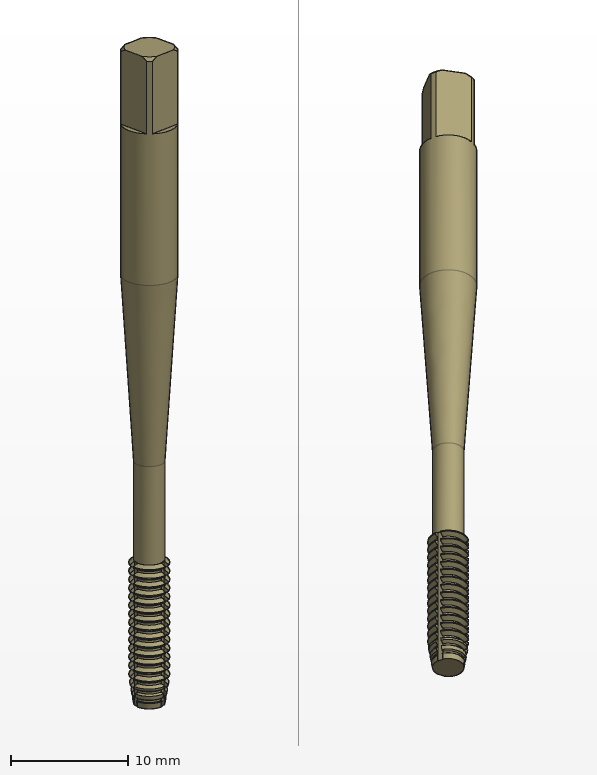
import cadquery as cq
import math

total_length = 60.6
thread_length = 13.3
neck_length = 9.1
taper_length = 17.2
square_length = 7.0

shank_diameter = 4.9
neck_diameter = 2.7
square_width = 3.8
square_end_chamfer = 0.3

thread_diameter = 3.505
thread_pitch = 25.4 / 32
crest_width = thread_pitch / 8
root_width = thread_pitch / 4
root_diameter = 2.7
lead_length = 3 * thread_pitch
tip_diameter = 2.7

groove_count = 3
groove_width = 0.5
groove_floor_radius = 1.3
first_groove_angle = 15

taper_start = thread_length + neck_length
taper_end = taper_start + taper_length
square_start = total_length - square_length


def make_shank():
    """Neck, taper, round shank and driving square."""
    neck_radius = neck_diameter / 2
    shank_radius = shank_diameter / 2
    outline = (
        cq.Workplane("XZ")
        .moveTo(0, thread_length)
        .lineTo(neck_radius, thread_length)
        .lineTo(neck_radius, taper_start)
        .lineTo(shank_radius, taper_end)
        .lineTo(shank_radius, total_length - square_end_chamfer)
        .lineTo(shank_radius - square_end_chamfer, total_length)
        .lineTo(0, total_length)
        .close()
    )
    body = outline.revolve(360, (0, 0, 0), (0, 1, 0))
    square = (
        cq.Workplane("XY", origin=(0, 0, square_start))
        .rect(square_width, square_width)
        .extrude(square_length)
    )
    around_square = (
        cq.Workplane("XY", origin=(0, 0, square_start))
        .circle(shank_diameter)
        .extrude(square_length)
        .cut(square)
    )
    return body.cut(around_square)


def thread_blank():
    """Plain cylinder with the lead-in cone at the tip."""
    outer_radius = thread_diameter / 2
    return (
        cq.Workplane("XZ")
        .lineTo(tip_diameter / 2, 0)
        .lineTo(outer_radius, lead_length)
        .lineTo(outer_radius, thread_length)
        .lineTo(0, thread_length)
        .close()
        .revolve(360, (0, 0, 0), (0, 1, 0))
    )


def thread_valley(height):
    """Ring with a trapezoidal section that leaves one valley centred on the given height."""
    outer_radius = thread_diameter / 2
    clear_radius = outer_radius + crest_width
    half_root = root_width / 2
    half_mouth = (thread_pitch - crest_width) / 2
    return (
        cq.Workplane("XZ")
        .moveTo(root_diameter / 2, height - half_root)
        .lineTo(outer_radius, height - half_mouth)
        .lineTo(clear_radius, height - half_mouth)
        .lineTo(clear_radius, height + half_mouth)
        .lineTo(outer_radius, height + half_mouth)
        .lineTo(root_diameter / 2, height + half_root)
        .close()
        .revolve(360, (0, 0, 0), (0, 1, 0))
    )


def lubrication_groove(angle):
    """Straight flat-bottomed groove along the whole thread."""
    return (
        cq.Workplane("XY")
        .center(groove_floor_radius + thread_diameter / 2, 0)
        .rect(thread_diameter, groove_width)
        .extrude(thread_length)
        .rotate((0, 0, 0), (0, 0, 1), angle)
    )


def make_thread():
    """Threaded section with its lead-in and lubrication grooves."""
    body = thread_blank()
    top_valley_height = thread_length + root_width / 2
    valley_count = math.ceil(thread_length / thread_pitch)
    for index in range(valley_count):
        body = body.cut(thread_valley(top_valley_height - index * thread_pitch))
    for index in range(groove_count):
        body = body.cut(lubrication_groove(first_groove_angle + index * 360 / groove_count))
    return body


shank = make_shank()
thread = make_thread()

result = cq.Compound.makeCompound([shank.val(), thread.val()])